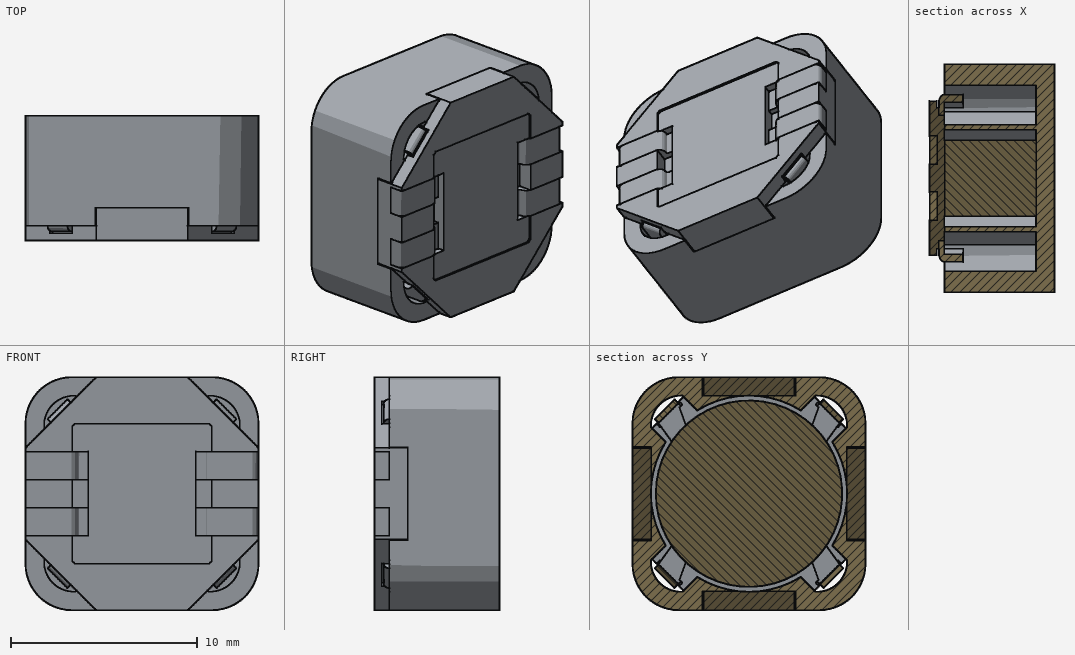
import cadquery as cq
import math

WIDTH = 12.5
DEPTH = 6.7
HALF = WIDTH / 2
BACK_Y = DEPTH / 2
FACE_Y = -DEPTH / 2

BASE_THICKNESS = 0.8
SEAT_Y = FACE_Y + BASE_THICKNESS
TAB_HALF = 2.45
TAB_LENGTH = 0.98
RECESS_HALF = 3.75
RECESS_DEPTH = 0.1
RECESS_CHAMFER = 0.15

CORNER_RADIUS = 2.5
WALL = 1.0
POCKET_WIDTH = 2.38
POCKET_REACH = 6.76
POCKET_END_RADIUS = 1.6
TAB_NOTCH_HALF = 2.5

CORE_RADIUS = 5.0

LEAD_NEAR_Z = 0.75
LEAD_FAR_Z = 2.25
SIDE_BEND = 0.4
SLOT_BEND = 0.42
FOOT_FILLET = 0.08
FOOT_Y = FACE_Y + SLOT_BEND + FOOT_FILLET
FOOT_THICKNESS = SEAT_Y - FOOT_Y
SLOT_INNER_X = 2.88
SLOT_OUTER_X = RECESS_HALF
BEND_X = 3.42

HOOK_LENGTH = 1.5
HOOK_REACH = 0.25
HOOK_ROOT = 0.25
HOOK_DROP = 1.0
HOOK_NOTCH_LENGTH = 1.7
HOOK_NOTCH_DEPTH = 0.4
DIAGONAL_MIDDLE = (HALF + TAB_HALF) / 2


def box(x_range, y_range, z_range):
    """Box between two limits along each axis."""
    sizes = [high - low for low, high in (x_range, y_range, z_range)]
    corner = (x_range[0], y_range[0], z_range[0])
    return cq.Workplane("XY").box(*sizes, centered=False).translate(corner)


def facing_back(y):
    """Workplane at the given Y whose extrusions go toward +Y; local (a, b) is X = a, Z = -b."""
    return cq.Workplane(cq.Plane((0, y, 0), xDir=(1, 0, 0), normal=(0, 1, 0)))


def across_corner():
    """Workplane across the +X+Z diagonal side: local x points outward, local y is Y."""
    origin = (DIAGONAL_MIDDLE, 0, DIAGONAL_MIDDLE)
    return cq.Workplane(cq.Plane(origin, xDir=(1, 0, 1), normal=(-1, 0, 1)))


def four_copies(shape):
    """The shape from the +X+Z quarter, and its mirror images in the other three quarters."""
    pair = [shape, shape.mirror("YZ")]
    return pair + [copy.mirror("XY") for copy in pair]


def side_tabs(half_length):
    """Four blocks reaching from the seat into the housing wall, one in the middle of each side."""
    y_range = (SEAT_Y, SEAT_Y + TAB_LENGTH)
    along = (-half_length, half_length)
    block = box((HALF - WALL, HALF), y_range, along)
    tabs = block
    for angle in (90, 180, 270):
        tabs = tabs.add(block.rotate((0, 0, 0), (0, 1, 0), angle))
    return tabs.combine()


def corner_pocket():
    """Pocket from the middle of the part toward the +X+Z corner, with a rounded outer end."""
    half_width = POCKET_WIDTH / 2
    end_rise = POCKET_END_RADIUS - math.sqrt(POCKET_END_RADIUS**2 - half_width**2)
    toward_corner = cq.Plane((0, SEAT_Y, 0), xDir=(1, 0, 1), normal=(0, 1, 0))
    return (
        cq.Workplane(toward_corner)
        .moveTo(0, -half_width)
        .lineTo(POCKET_REACH - end_rise, -half_width)
        .threePointArc((POCKET_REACH, 0), (POCKET_REACH - end_rise, half_width))
        .lineTo(0, half_width)
        .close()
        .extrude(BACK_Y - WALL - SEAT_Y)
    )


def make_housing():
    """Cup with rounded corners, a round bore with corner pockets, and notches for the side tabs."""
    housing = facing_back(SEAT_Y).rect(WIDTH, WIDTH).extrude(BACK_Y - SEAT_Y)
    housing = housing.edges("|Y").fillet(CORNER_RADIUS)
    bore = facing_back(SEAT_Y).circle(HALF - WALL).extrude(BACK_Y - WALL - SEAT_Y)
    housing = housing.cut(bore)
    for pocket in four_copies(corner_pocket()):
        housing = housing.cut(pocket)
    return housing.cut(side_tabs(TAB_NOTCH_HALF))


def make_core():
    """Round core standing on the housing floor and reaching up to the base."""
    return facing_back(SEAT_Y).circle(CORE_RADIUS).extrude(BACK_Y - WALL - SEAT_Y)


def lead_pad():
    """Strip that wraps over the base from the side of the part into the slot and ends in a foot."""
    corner = math.sqrt(0.5)
    side_centre = (HALF - SIDE_BEND, FACE_Y + SIDE_BEND)
    slot_centre = (BEND_X + SLOT_BEND, FACE_Y + SLOT_BEND)
    fillet_centre = (BEND_X - FOOT_FILLET, FOOT_Y - FOOT_FILLET)
    side_middle = (side_centre[0] + SIDE_BEND * corner, side_centre[1] - SIDE_BEND * corner)
    slot_middle = (slot_centre[0] - SLOT_BEND * corner, slot_centre[1] - SLOT_BEND * corner)
    fillet_middle = (fillet_centre[0] + FOOT_FILLET * corner, fillet_centre[1] + FOOT_FILLET * corner)
    return (
        cq.Workplane("XY", origin=(0, 0, LEAD_NEAR_Z))
        .moveTo(HALF, SEAT_Y)
        .lineTo(HALF, side_centre[1])
        .threePointArc(side_middle, (side_centre[0], FACE_Y))
        .lineTo(slot_centre[0], FACE_Y)
        .threePointArc(slot_middle, (BEND_X, slot_centre[1]))
        .threePointArc(fillet_middle, (fillet_centre[0], FOOT_Y))
        .lineTo(SLOT_INNER_X, FOOT_Y)
        .lineTo(SLOT_INNER_X, SEAT_Y)
        .lineTo(slot_centre[0], SEAT_Y)
        .lineTo(slot_centre[0], side_centre[1])
        .lineTo(side_centre[0], side_centre[1])
        .lineTo(side_centre[0], SEAT_Y)
        .close()
        .extrude(LEAD_FAR_Z - LEAD_NEAR_Z)
    )


def lead_arm():
    """Flat arm under the base from the foot to the diagonal side."""
    shift = HOOK_LENGTH / 2 * math.sqrt(0.5)
    near = DIAGONAL_MIDDLE - shift
    far = DIAGONAL_MIDDLE + shift
    outline = [
        (SLOT_INNER_X, -LEAD_NEAR_Z),
        (SLOT_OUTER_X, -LEAD_NEAR_Z),
        (SLOT_OUTER_X, -LEAD_FAR_Z),
        (far, -near),
        (near, -far),
        (SLOT_INNER_X, -LEAD_FAR_Z),
    ]
    return facing_back(FOOT_Y).polyline(outline).close().extrude(FOOT_THICKNESS)


def lead_hook():
    """End of the lead, bent round the diagonal side and down into the housing."""
    bend_start = HOOK_REACH - FOOT_THICKNESS
    bend_middle = (
        bend_start + FOOT_THICKNESS * math.sqrt(0.5),
        SEAT_Y - FOOT_THICKNESS * math.sqrt(0.5),
    )
    return (
        across_corner()
        .moveTo(-HOOK_ROOT, SEAT_Y)
        .lineTo(-HOOK_ROOT, FOOT_Y)
        .lineTo(bend_start, FOOT_Y)
        .threePointArc(bend_middle, (HOOK_REACH, SEAT_Y))
        .lineTo(HOOK_REACH, SEAT_Y + HOOK_DROP)
        .lineTo(bend_start, SEAT_Y + HOOK_DROP)
        .lineTo(bend_start, SEAT_Y)
        .close()
        .extrude(HOOK_LENGTH / 2, both=True)
    )


def make_leads():
    """Four separate leads, one per quarter."""
    return four_copies(lead_pad().union(lead_arm()).union(lead_hook()))


def hook_notch():
    """Opening in the diagonal side of the base, with play around the hook."""
    return (
        across_corner()
        .moveTo(-HOOK_ROOT, SEAT_Y)
        .lineTo(-HOOK_ROOT, FACE_Y + HOOK_NOTCH_DEPTH)
        .lineTo(HOOK_REACH, FACE_Y + HOOK_NOTCH_DEPTH)
        .lineTo(HOOK_REACH, SEAT_Y)
        .close()
        .extrude(HOOK_NOTCH_LENGTH / 2, both=True)
    )


def bend_clearances():
    """Two blocks that take the edges off the base where a lead bends round them."""
    z_range = (LEAD_NEAR_Z, LEAD_FAR_Z)
    side = box((HALF - SIDE_BEND, HALF), (FACE_Y, SEAT_Y), z_range)
    slot = box((SLOT_OUTER_X, BEND_X + SLOT_BEND), (FACE_Y, SEAT_Y), z_range)
    return side.add(slot).combine()


def make_base(leads):
    """Octagonal plate with side tabs, a shallow square recess, lead slots and lead grooves."""
    base = facing_back(FACE_Y).rect(WIDTH, WIDTH).extrude(BASE_THICKNESS)
    base = base.edges("|Y").chamfer(HALF - TAB_HALF)
    base = base.union(side_tabs(TAB_HALF))

    recess = facing_back(FACE_Y).rect(2 * RECESS_HALF, 2 * RECESS_HALF).extrude(RECESS_DEPTH)
    base = base.cut(recess.edges("|Y").chamfer(RECESS_CHAMFER))

    slot = box((SLOT_INNER_X, SLOT_OUTER_X), (FACE_Y, SEAT_Y), (-LEAD_FAR_Z, LEAD_FAR_Z))
    base = base.cut(slot).cut(slot.mirror("YZ"))

    for clearance in four_copies(bend_clearances()):
        base = base.cut(clearance)
    for notch in four_copies(hook_notch()):
        base = base.cut(notch)
    for lead in leads:
        base = base.cut(lead)
    return base


housing = make_housing()
core = make_core()
leads = make_leads()
base = make_base(leads)

result = cq.Compound.makeCompound(
    [housing.val(), core.val(), base.val(), *[lead.val() for lead in leads]]
)